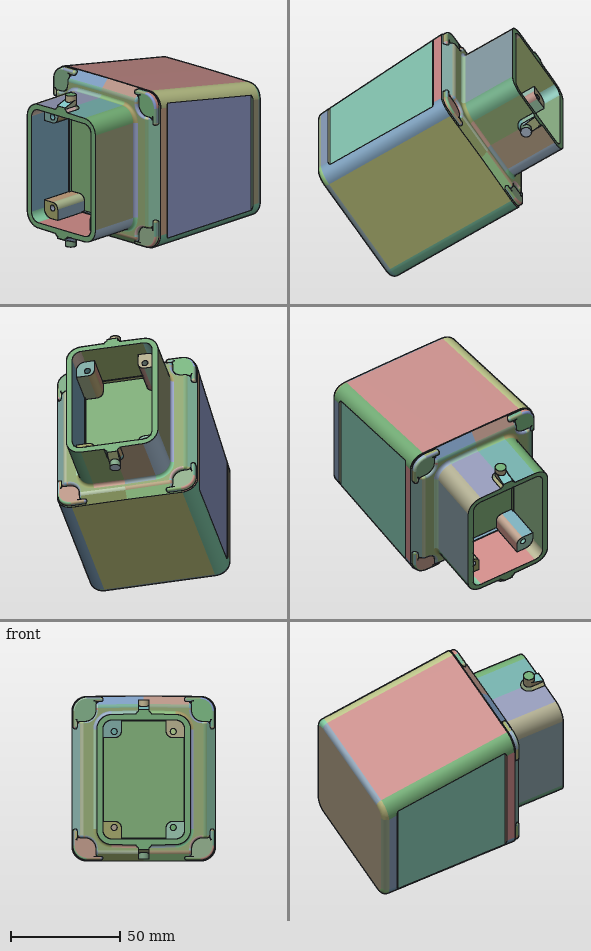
import cadquery as cq
import math


length = 99.5
width = 66.0
height = 75.7
back_height = 63.9
crown_rise = 0.3
corner_radius = 7.0
back_radius = 2.8

body_front = 31.6
flange_face = 26.9
flange_chamfer = 4.5
plateau_drop = 0.8
flange_edge_radius = 2.3
pad_face = 28.6
pad_size_x = 11.0
top_pad_size_z = 11.6
bottom_pad_size_z = 10.6
pad_inset = 0.5
pad_inner_radius = 5.0
pad_edge_radius = 0.9
pocket_edge_radius = 1.0
arm_reach_x = 14.3
top_arm_reach_z = 15.1
bottom_arm_reach_z = 14.7
arm_depth = 2.8
arm_tip_radius = 1.1

panel_depth = 0.4
panel_front = 36.4
panel_back = 92.1
panel_end_slope = 0.8

shroud_width = 43.1
shroud_height = 60.1
shroud_center_z = 37.4
shroud_radius = 7.0
shroud_wall = 2.8
cavity_depth = 26.3
ledge_depth = 24.7
ledge_width = 0.4
shroud_root_radius = 1.5

post_end = 8.5
post_inner_x = 10.2
post_inner_z = 19.2
post_radius = 3.0
screw_x = 13.5
screw_z = 22.0
screw_diameter = 2.8
screw_depth = 9.9

peg_y = 6.4
peg_diameter = 5.0
peg_reach = 36.5
peg_foot_sink = 0.1
peg_base_width = 7.8
peg_base_height = 1.4
ramp_reach_rim = 32.0
ramp_reach_peg = 34.2

half_width = width / 2
half_height = height / 2
top_slope = (height - back_height) / (length - body_front)
shroud_half_height = shroud_height / 2

selection_margin = 0.1


def block(x_range, y_range, z_range):
    """Box spanning the given coordinate ranges."""
    sizes = [high - low for low, high in (x_range, y_range, z_range)]
    corner = (x_range[0], y_range[0], z_range[0])
    return cq.Workplane("XY").box(*sizes, centered=False).translate(corner)


def facing_front(y, z=0.0):
    """Sketch plane at depth y: local axes are X and Z, extrusion runs toward -Y."""
    return cq.Workplane("XZ", origin=(0, y, z))


def rounded_prism(size_x, size_z, center_z, y_front, y_back, radius):
    """Rectangle in X and Z with round corners, running from y_front to y_back."""
    return (
        facing_front(y_back, center_z)
        .rect(size_x, size_z)
        .extrude(y_back - y_front)
        .edges("|Y")
        .fillet(radius)
    )


def crowned_prism(size_x, size_z, center_z, y_front, y_back, radius):
    """Like rounded_prism, but top and bottom rise to a slight ridge at X = 0."""
    ridge_z = size_z / 2
    side_z = ridge_z - crown_rise
    return (
        facing_front(y_back, center_z)
        .moveTo(size_x / 2, -side_z)
        .lineTo(size_x / 2, side_z)
        .lineTo(0, ridge_z)
        .lineTo(-size_x / 2, side_z)
        .lineTo(-size_x / 2, -side_z)
        .lineTo(0, -ridge_z)
        .close()
        .extrude(y_back - y_front)
        .edges("|Y and (<X or >X)")
        .fillet(radius)
    )


def make_housing():
    """Wedge whose sloping top is crowned across X, with rounded long and back edges."""
    wedge = (
        cq.Workplane("YZ")
        .moveTo(body_front, 0)
        .lineTo(length, 0)
        .lineTo(length, back_height)
        .lineTo(body_front, height)
        .close()
        .extrude(half_width, both=True)
    )
    crown_radius = (half_width**2 + crown_rise**2) / (2 * crown_rise)
    slope_angle = math.atan(top_slope)
    along_slope = (0, math.cos(slope_angle), -math.sin(slope_angle))
    crown_center = (
        0,
        body_front - crown_radius * math.sin(slope_angle),
        height - crown_radius * math.cos(slope_angle),
    )
    crown = (
        cq.Workplane(cq.Plane(origin=crown_center, xDir=(1, 0, 0), normal=along_slope))
        .circle(crown_radius)
        .extrude(2 * length, both=True)
    )
    housing = wedge.intersect(crown)
    housing = housing.edges("<X or >X").edges("not |Z").fillet(corner_radius)
    return housing.faces(">Y").edges().fillet(back_radius)


def make_panel_recesses():
    """Shallow full-height cutters for both side panels, with sloping end walls."""
    panel_x = half_width - panel_depth
    cutter = (
        cq.Workplane("XY")
        .moveTo(panel_x, panel_front)
        .lineTo(panel_x, panel_back)
        .lineTo(half_width, panel_back + panel_end_slope)
        .lineTo(half_width, panel_front - panel_end_slope)
        .close()
        .extrude(height)
    )
    return cutter.union(cutter.mirror("YZ"))


def at_four_corners(top_corner, bottom_corner):
    """Mirror two solids, both given in the +X +Z corner, to the top and bottom corner pairs."""
    right_side = top_corner.union(bottom_corner.mirror("XY", (0, 0, half_height)))
    return right_side.union(right_side.mirror("YZ"))


def corner_block(size_z, depths, outer_margin=0.0):
    """Block in the +X +Z flange corner, its inward edge rounded, clear of the outer margin."""
    corner = block(
        (half_width - pad_size_x, half_width - outer_margin),
        depths,
        (height - size_z, height - outer_margin),
    )
    return corner.edges("|Y and <X and <Z").fillet(pad_inner_radius)


def make_flange():
    """Plateau with pockets in its corners; its chamfer cuts in less at the bottom."""
    plateau = crowned_prism(
        width,
        height + plateau_drop,
        half_height - plateau_drop / 2,
        flange_face,
        body_front,
        corner_radius,
    )
    plateau = plateau.faces("<Y").chamfer(flange_chamfer)
    plateau = plateau.faces("<Y").edges().fillet(flange_edge_radius)
    plateau = plateau.intersect(
        rounded_prism(width, height, half_height, flange_face, body_front, corner_radius)
    )
    pocket_depths = (0, pad_face)
    plateau = plateau.cut(
        at_four_corners(
            corner_block(top_pad_size_z, pocket_depths),
            corner_block(bottom_pad_size_z, pocket_depths),
        )
    )
    return plateau.faces("<Y").edges("%CIRCLE").fillet(pocket_edge_radius)


def make_corner_pad(size_z, arm_reach_z):
    """Flat pad in the +X +Z corner with a round-ended arm along each flange edge."""
    depths = (pad_face, body_front)
    edge_x = half_width - pad_inset
    edge_z = height - pad_inset
    outline = rounded_prism(
        2 * edge_x, height - 2 * pad_inset, half_height, *depths, corner_radius - pad_inset
    )
    arm_along_x = block((half_width - arm_reach_x, edge_x), depths, (height - arm_depth, edge_z))
    arm_along_x = arm_along_x.edges("|Y and <X").fillet(arm_tip_radius)
    arm_along_z = block((half_width - arm_depth, edge_x), depths, (height - arm_reach_z, edge_z))
    arm_along_z = arm_along_z.edges("|Y and <Z").fillet(arm_tip_radius)
    pad = corner_block(size_z, depths).union(arm_along_x).union(arm_along_z).intersect(outline)
    pad = pad.faces("<Y").edges().fillet(pad_edge_radius)
    inner_margin = pad_inset + 2 * pad_edge_radius
    sharp_inner_part = corner_block(size_z, depths, inner_margin)
    outer_edge = sharp_inner_part.edges("|Y and >X and >Z")
    sharp_inner_part = outer_edge.fillet(corner_radius - inner_margin)
    return pad.union(sharp_inner_part)


def make_corner_pads():
    """The four corner pads; the upper two are slightly taller than the lower two."""
    return at_four_corners(
        make_corner_pad(top_pad_size_z, top_arm_reach_z),
        make_corner_pad(bottom_pad_size_z, bottom_arm_reach_z),
    )


def add_shroud(body):
    """Join the solid connector shroud to the flange and fillet its root."""
    shroud = crowned_prism(
        shroud_width, shroud_height, shroud_center_z, 0, flange_face, shroud_radius
    )
    reach_x = shroud_width / 2 + selection_margin
    reach_z = shroud_half_height + selection_margin
    around_root = cq.selectors.BoxSelector(
        (-reach_x, flange_face - selection_margin, shroud_center_z - reach_z),
        (reach_x, flange_face + selection_margin, shroud_center_z + reach_z),
        boundingbox=False,
    )
    return body.union(shroud).edges(around_root).fillet(shroud_root_radius)


def make_cavity():
    """Open space inside the shroud: a narrow ledge near its floor, four posts left standing."""
    cavity_x = shroud_width - 2 * shroud_wall
    cavity_z = shroud_height - 2 * shroud_wall
    inner_radius = shroud_radius - shroud_wall
    cavity = rounded_prism(cavity_x, cavity_z, shroud_center_z, 0, ledge_depth, inner_radius)
    floor_recess = rounded_prism(
        cavity_x - 2 * ledge_width,
        cavity_z - 2 * ledge_width,
        shroud_center_z,
        ledge_depth,
        cavity_depth,
        inner_radius - ledge_width,
    )
    cavity = cavity.union(floor_recess)
    for side_x in (-1, 1):
        for side_z in (-1, 1):
            post_size_x = half_width - post_inner_x
            post_size_z = half_height - post_inner_z
            post = (
                facing_front(cavity_depth, shroud_center_z)
                .center(
                    side_x * (post_inner_x + post_size_x / 2),
                    side_z * (post_inner_z + post_size_z / 2),
                )
                .rect(post_size_x, post_size_z)
                .extrude(cavity_depth - post_end)
                .edges("|Y")
                .fillet(post_radius)
            )
            cavity = cavity.cut(post)
    return cavity


def make_screw_holes():
    """Blind holes in the ends of the four posts."""
    return (
        facing_front(post_end, shroud_center_z)
        .rect(2 * screw_x, 2 * screw_z, forConstruction=True)
        .vertices()
        .circle(screw_diameter / 2)
        .extrude(-screw_depth)
    )


def make_peg():
    """Upper locking peg with its flared base and the ramp rising toward it."""
    foot_z = shroud_half_height - peg_foot_sink
    base = (
        cq.Workplane("XY", origin=(0, 0, shroud_center_z + foot_z))
        .slot2D(2 * peg_y + peg_base_width, peg_base_width, 90)
        .extrude(peg_base_height, taper=45)
    )
    base = base.intersect(block((-peg_base_width, peg_base_width), (0, length), (0, height)))
    pin = (
        cq.Workplane("XY", origin=(0, peg_y, shroud_center_z + foot_z))
        .circle(peg_diameter / 2)
        .extrude(peg_reach - foot_z)
    )
    ramp = (
        cq.Workplane("YZ", origin=(0, 0, shroud_center_z))
        .moveTo(0, foot_z)
        .lineTo(peg_y, foot_z)
        .lineTo(peg_y, ramp_reach_peg)
        .lineTo(0, ramp_reach_rim)
        .close()
        .extrude(peg_diameter / 2, both=True)
    )
    return base.union(pin).union(ramp)


front = make_flange().union(make_corner_pads())
body = make_housing().cut(make_panel_recesses()).union(front)
body = add_shroud(body).cut(make_cavity()).cut(make_screw_holes())
peg = make_peg()
result = body.union(peg).union(peg.mirror("XY", (0, 0, shroud_center_z)))